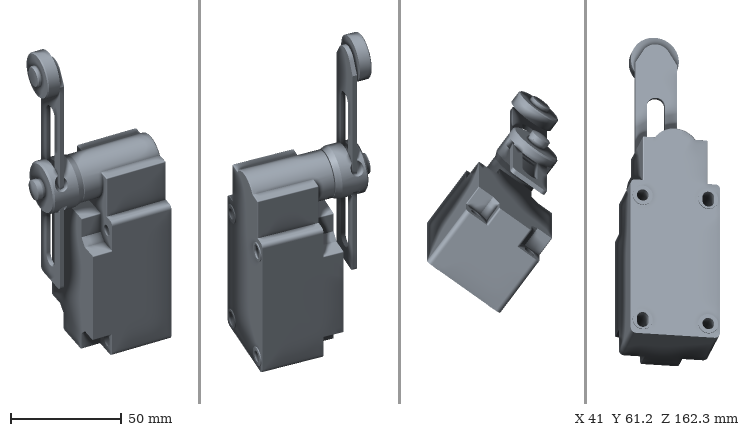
import cadquery as cq
import math


HOUSING_WIDTH = 41.0
HOUSING_DEPTH = 30.0
HOUSING_HEIGHT = 74.0
TOP_CORNER_RADIUS = 2.0
BOTTOM_CORNER_RADIUS = 2.5
NECK_TOP = 78.0
FRONT_DEPTH = 39.8
PANEL_TOP = 72.2
PANEL_END_WIDTH = 18.0
PANEL_EDGE_RADIUS = 0.5
PANEL_FOOT_RADIUS = 1.0
UPPER_POCKET_FLOOR = 58.6
LOWER_POCKET_ROOF = 12.2
POCKET_CHAMFER = 3.4

HOLE_DIAMETER = 5.4
HOLE_SLOT_LENGTH = 7.1
HOLE_X = 15.1
LOWER_HOLE_Z = 6.5
UPPER_HOLE_Z = 66.5
PAD_DIAMETER = 9.1
PAD_THICKNESS = 0.5

HEAD_WIDTH = 29.9
HEAD_DEPTH = HOUSING_DEPTH
HEAD_SHOULDER_TOP = 95.1
HEAD_EDGE_RADIUS = 0.5
BARREL_RADIUS = 11.4
BARREL_LENGTH = 39.8
BARREL_EDGE_BREAK = 0.5
KEY_WIDTH = 13.0
KEY_DEPTH = 2.5

AXIS_Z = 88.6
HUB_RADIUS = 12.5
HUB_BACK_RADIUS = BARREL_RADIUS
HUB_CONE_LENGTH = 3.0
CLAMP_FRONT = 55.7
CLAMP_EDGE_BREAK = 0.8
SCREW_NECK_RADIUS = 4.5
SCREW_NECK_LENGTH = 1.5
SCREW_HEAD_RADIUS = 4.9
SCREW_HEAD_LENGTH = 2.5
SCREW_DOME_HEIGHT = 1.0
CROSS_HOLE_OFFSET = 6.8
CROSS_HOLE_DIAMETER = 6.2
CROSS_SLOT_SIZE = 3.4
CROSS_HOLE_SHIFT = 0.8

ARM_WIDTH = 19.2
ARM_THICKNESS = 2.1
ARM_BACK = 48.9
ARM_BOTTOM = 36.4
ARM_CORNER_RADIUS = 2.3
ARM_TIP_RADIUS = 6.8
ARM_SIDE_TOP = 148.7
SLOT_WIDTH = 8.3
SLOT_BOTTOM = 44.5
SLOT_TOP = 132.3

ROLLER_RADIUS = 11.0
ROLLER_Z = 162.3 - ROLLER_RADIUS
ROLLER_GAP = 0.8
ROLLER_THICKNESS = 6.0
ROLLER_EDGE_BREAK = 0.5
PIN_RADIUS = 3.5
PIN_HEAD_RADIUS = 5.0
PIN_HEAD_LENGTH = 2.0
PIN_HEAD_CHAMFER = 0.5

ARM_FRONT = ARM_BACK + ARM_THICKNESS
ARM_MIDDLE = ARM_BACK + ARM_THICKNESS / 2
ROLLER_BACK = ARM_FRONT + ROLLER_GAP
ROLLER_FRONT = ROLLER_BACK + ROLLER_THICKNESS


def front_plane(depth=0.0):
    """Sketch plane facing the front (-Y): local x is X, local y is Z, extrusion goes forward."""
    return cq.Workplane("XZ", origin=(0, -depth, 0))


def block(width, back, front, bottom, top):
    """Box centred on X = 0, with its Y range given as depths behind and in front."""
    return front_plane(back).center(0, (bottom + top) / 2).rect(width, top - bottom).extrude(front - back)


def disc(radius, back, front, z, x=0.0):
    return front_plane(back).center(x, z).circle(radius).extrude(front - back)


def cross_plane(depth, z):
    """Sketch plane beside the hub from which a cut along X runs right through it."""
    return cq.Workplane("YZ", origin=(-HUB_RADIUS, -depth, z))


def head_key():
    """Cross-shaped key under the head; also the shape of its recess in the housing."""
    bottom = NECK_TOP - KEY_DEPTH
    across = block(HEAD_WIDTH, (HEAD_DEPTH - KEY_WIDTH) / 2, (HEAD_DEPTH + KEY_WIDTH) / 2, bottom, NECK_TOP)
    along = block(KEY_WIDTH, 0, HEAD_DEPTH, bottom, NECK_TOP)
    return across.union(along)


def raised_panel():
    """Front panel: full width in the middle, narrow between the pockets at both ends."""
    half_width = HOUSING_WIDTH / 2
    half_end = PANEL_END_WIDTH / 2
    right_side = [
        (half_end, 0),
        (half_end, LOWER_POCKET_ROOF - POCKET_CHAMFER),
        (half_end + POCKET_CHAMFER, LOWER_POCKET_ROOF),
        (half_width, LOWER_POCKET_ROOF),
        (half_width, UPPER_POCKET_FLOOR),
        (half_end + POCKET_CHAMFER, UPPER_POCKET_FLOOR),
        (half_end, UPPER_POCKET_FLOOR + POCKET_CHAMFER),
        (half_end, PANEL_TOP),
    ]
    left_side = [(-x, z) for x, z in reversed(right_side)]
    panel = front_plane(HOUSING_DEPTH).polyline(right_side + left_side).close()
    panel = panel.extrude(FRONT_DEPTH - HOUSING_DEPTH)
    panel = panel.edges("|Y and (>Z or <X or >X)").fillet(PANEL_EDGE_RADIUS)
    return panel.edges("|Y and <Z").fillet(PANEL_FOOT_RADIUS)


def mounting_hole(x, z, is_slot):
    sketch = front_plane(-PAD_THICKNESS).center(x, z)
    if is_slot:
        sketch = sketch.slot2D(HOLE_SLOT_LENGTH, HOLE_DIAMETER, 90)
    else:
        sketch = sketch.circle(HOLE_DIAMETER / 2)
    return sketch.extrude(HOUSING_DEPTH + PAD_THICKNESS)


def make_housing():
    body = block(HOUSING_WIDTH, 0, HOUSING_DEPTH, 0, HOUSING_HEIGHT)
    body = body.edges("|Y and >Z").fillet(TOP_CORNER_RADIUS)
    body = body.edges("|Y and <Z").fillet(BOTTOM_CORNER_RADIUS)
    neck = block(HEAD_WIDTH, 0, HEAD_DEPTH, HOUSING_HEIGHT, NECK_TOP)
    neck = neck.edges("|Z").fillet(HEAD_EDGE_RADIUS)
    body = body.union(raised_panel()).union(neck).cut(head_key())
    for side in (-1, 1):
        for z, is_slot in ((UPPER_HOLE_Z, side < 0), (LOWER_HOLE_Z, side > 0)):
            body = body.union(disc(PAD_DIAMETER / 2, -PAD_THICKNESS, 0, z, side * HOLE_X))
            body = body.cut(mounting_hole(side * HOLE_X, z, is_slot))
    return body


def make_head():
    shoulders = block(HEAD_WIDTH, 0, HEAD_DEPTH, NECK_TOP, HEAD_SHOULDER_TOP)
    shoulders = shoulders.edges("|Z or >Z").fillet(HEAD_EDGE_RADIUS)
    barrel = disc(BARREL_RADIUS, 0, BARREL_LENGTH, AXIS_Z)
    barrel = barrel.faces("<Y or >Y").edges().chamfer(BARREL_EDGE_BREAK)
    under_barrel = block(2 * BARREL_RADIUS, 0, HEAD_DEPTH, AXIS_Z - BARREL_RADIUS, NECK_TOP)
    barrel = barrel.cut(under_barrel)
    return shoulders.union(barrel).union(head_key())


def arm_outline():
    """Outer shape of the arm: square-ended below, a tangent taper into a round tip above."""
    half = ARM_WIDTH / 2
    drop = ROLLER_Z - ARM_SIDE_TOP
    reach = math.hypot(half, drop)
    tangent_angle = math.acos(ARM_TIP_RADIUS / reach) - math.atan2(drop, half)
    tip_x = ARM_TIP_RADIUS * math.cos(tangent_angle)
    tip_z = ROLLER_Z + ARM_TIP_RADIUS * math.sin(tangent_angle)
    return (
        front_plane(ARM_BACK)
        .moveTo(-half, ARM_BOTTOM)
        .lineTo(half, ARM_BOTTOM)
        .lineTo(half, ARM_SIDE_TOP)
        .lineTo(tip_x, tip_z)
        .threePointArc((0, ROLLER_Z + ARM_TIP_RADIUS), (-tip_x, tip_z))
        .lineTo(-half, ARM_SIDE_TOP)
        .close()
        .extrude(ARM_THICKNESS)
    )


def make_arm():
    slot = (
        front_plane(ARM_BACK)
        .center(0, (SLOT_BOTTOM + SLOT_TOP) / 2)
        .slot2D(SLOT_TOP - SLOT_BOTTOM, SLOT_WIDTH, 90)
        .extrude(ARM_THICKNESS)
    )
    pin_hole = disc(PIN_RADIUS, ARM_BACK, ARM_FRONT, ROLLER_Z)
    arm = arm_outline().edges("|Y and <Z").fillet(ARM_CORNER_RADIUS)
    return arm.cut(slot).cut(pin_hole)


def hub_cutouts():
    """Channel that holds the arm, and the round hole and square slot that cross the joint."""
    channel = block(ARM_WIDTH, ARM_BACK, ARM_FRONT, AXIS_Z - 2 * HUB_RADIUS, AXIS_Z + 2 * HUB_RADIUS)
    hole_sketch = cross_plane(ARM_MIDDLE + CROSS_HOLE_SHIFT, AXIS_Z + CROSS_HOLE_OFFSET)
    round_hole = hole_sketch.circle(CROSS_HOLE_DIAMETER / 2).extrude(2 * HUB_RADIUS)
    slot_sketch = cross_plane(ARM_MIDDLE, AXIS_Z - CROSS_HOLE_OFFSET)
    square_slot = slot_sketch.rect(CROSS_SLOT_SIZE, CROSS_SLOT_SIZE).extrude(2 * HUB_RADIUS)
    return channel.union(round_hole).union(square_slot)


def turned_on_axis(profile):
    """Solid of revolution about the lever axis; profile points are (radius, depth)."""
    points = [(radius, -depth) for radius, depth in profile]
    return cq.Workplane("XY", origin=(0, 0, AXIS_Z)).polyline(points).close().revolve(360, (0, 0), (0, 1))


def make_hub():
    hub = turned_on_axis([
        (0, BARREL_LENGTH),
        (HUB_BACK_RADIUS, BARREL_LENGTH),
        (HUB_RADIUS, BARREL_LENGTH + HUB_CONE_LENGTH),
        (HUB_RADIUS, ARM_MIDDLE),
        (0, ARM_MIDDLE),
    ])
    return hub.cut(hub_cutouts())


def screw_dome():
    """Spherical cap on the front of the screw head."""
    base = CLAMP_FRONT + SCREW_NECK_LENGTH + SCREW_HEAD_LENGTH
    sphere_radius = (SCREW_HEAD_RADIUS**2 + SCREW_DOME_HEIGHT**2) / (2 * SCREW_DOME_HEIGHT)
    centre_depth = base + SCREW_DOME_HEIGHT - sphere_radius
    sphere = cq.Workplane("XY", origin=(0, -centre_depth, AXIS_Z)).sphere(sphere_radius)
    return disc(SCREW_HEAD_RADIUS, base, base + SCREW_DOME_HEIGHT, AXIS_Z).intersect(sphere)


def make_clamp():
    """Front half of the hub, turned in one piece with its clamping screw."""
    neck_front = CLAMP_FRONT + SCREW_NECK_LENGTH
    head_front = neck_front + SCREW_HEAD_LENGTH
    clamp = turned_on_axis([
        (0, ARM_MIDDLE),
        (HUB_RADIUS, ARM_MIDDLE),
        (HUB_RADIUS, CLAMP_FRONT - CLAMP_EDGE_BREAK),
        (HUB_RADIUS - CLAMP_EDGE_BREAK, CLAMP_FRONT),
        (SCREW_NECK_RADIUS, CLAMP_FRONT),
        (SCREW_NECK_RADIUS, neck_front),
        (SCREW_HEAD_RADIUS, neck_front),
        (SCREW_HEAD_RADIUS, head_front),
        (0, head_front),
    ])
    return clamp.union(screw_dome()).cut(hub_cutouts())


def make_roller():
    roller = disc(ROLLER_RADIUS, ROLLER_BACK, ROLLER_FRONT, ROLLER_Z)
    roller = roller.faces("<Y").edges().chamfer(ROLLER_EDGE_BREAK)
    return roller.cut(disc(PIN_RADIUS, ROLLER_BACK, ROLLER_FRONT, ROLLER_Z))


def make_pin():
    shank = disc(PIN_RADIUS, ARM_BACK, ROLLER_FRONT, ROLLER_Z)
    head = disc(PIN_HEAD_RADIUS, ROLLER_FRONT, ROLLER_FRONT + PIN_HEAD_LENGTH, ROLLER_Z)
    head = head.faces("<Y").edges().chamfer(PIN_HEAD_CHAMFER)
    return shank.union(head)


housing = make_housing()
head = make_head()
hub = make_hub()
clamp = make_clamp()
arm = make_arm()
roller = make_roller()
pin = make_pin()

result = cq.Compound.makeCompound([
    housing.solids().val(),
    head.solids().val(),
    hub.solids().val(),
    clamp.solids().val(),
    arm.solids().val(),
    roller.solids().val(),
    pin.solids().val(),
])